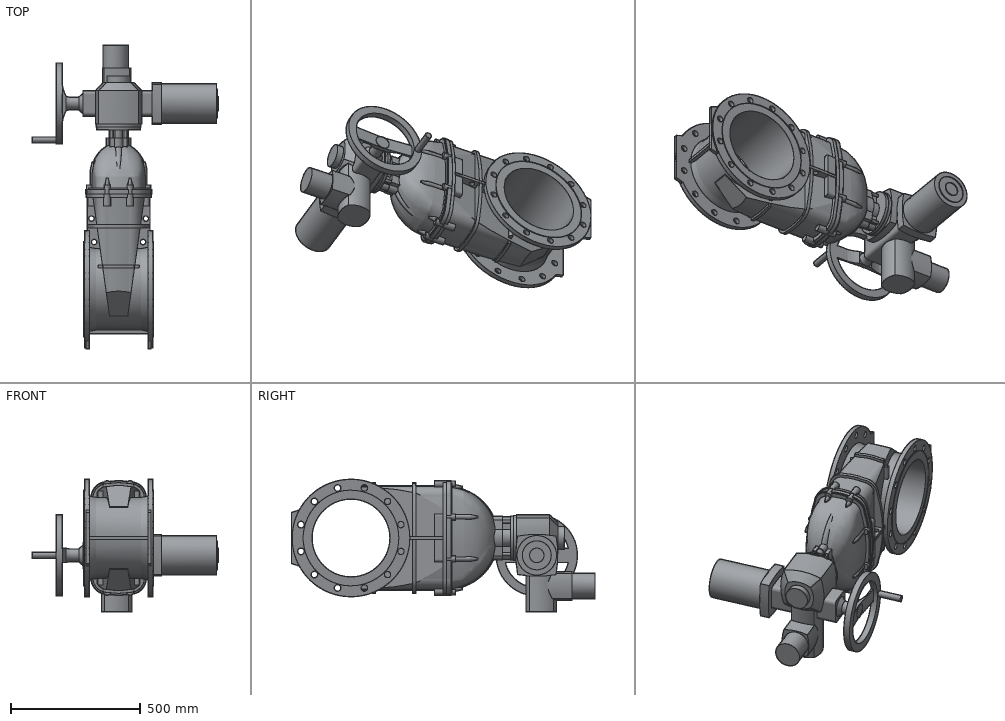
import cadquery as cq
import math


FACE_TO_FACE = 270.0
BORE_DIA = 300.0
BARREL_DIA = 315.0
BARREL_END_DIA = 326.0
BARREL_STRAIGHT_HALF = 87.0
FLANGE_DIA = 455.0
FLANGE_BACK_X = 113.5
RAISED_FACE_DIA = 370.0
RAISED_FACE_HEIGHT = 3.0
BOLT_CIRCLE_DIA = 400.0
FLANGE_HOLE_COUNT = 12
FLANGE_HOLE_DIA = 24.5
FOOT_THICKNESS = 12.0
FOOT_BOTTOM_Y = -230.5
FOOT_TOP_Y = -200.0
FOOT_HALF_Z_TOP = 109.0
FOOT_HALF_Z_BOTTOM = 99.0

OVAL_HALF_X = 110.0
OVAL_HALF_Z = 203.0
OVAL_FLAT_HALF_X = 41.0
OVAL_CORNER_Z = 160.0
OVAL_SIDE_BULGE = 22.0
OVAL_END_BULGE = 4.0

HOUSING_TOP_Y = 356.0
HOUSING_TOP_HALF_X = 99.5
HOUSING_BOTTOM_Y = -104.0
HOUSING_BOTTOM_HALF_X = 35.0
HOUSING_CHAMFER_Y = -7.0
HOUSING_BOTTOM_HALF_Z = 121.0

RIB_THICKNESS = 12.0
SIDE_PLATE_HALF_X = 122.0
FOOT_RIB_Y = -172.0
LIFTING_HOLE_DIA = 20.0
LIFTING_HOLES = ((105.0, 273.5), (94.5, 183.0))
COLLAR_OFFSET = 11.0
UPPER_COLLAR_Y = 244.0
UPPER_COLLAR_WIDTH = 13.0
LOWER_COLLAR_Y = 89.0
LOWER_COLLAR_WIDTH = 12.0
LOWER_COLLAR_HALF_X = 60.0
LOWER_COLLAR_BAR_HALF_X = 80.0
LOWER_COLLAR_BAR_HALF_Z = 182.0
LOWER_COLLAR_BAR_RADIUS = 5.5

BODY_FLANGE_OFFSET = 17.0
BONNET_FLANGE_OFFSET = 19.0
JOINT_Y = 369.5
BONNET_FLANGE_TOP_Y = 387.0
BONNET_BASE_TOP_Y = 391.0
BONNET_BASE_OFFSET = 14.0
BOLT_HEAD_DIA = 25.0
BOLT_HEAD_TOP_Y = 404.0
BOLT_COLUMN_DIA = 20.0
BOLT_COLUMN_TIP_DIA = 7.0
NUT_BOSS_DIA = 28.0
NUT_BOSS_BOTTOM_Y = 322.0
END_BOLT_X = 44.0
END_BOLT_Z = 208.0
END_COLUMN_Z = 197.0
END_COLUMN_TIP_Y = 431.0
SIDE_BOLT_X = 112.0
SIDE_BOLT_Z = 81.0
NUT_PAD_HALF_X = 119.0
NUT_PAD_CORNER_RADIUS = 10.0
SIDE_COLUMN_X = 100.0
SIDE_COLUMN_SHOULDER_Y = 462.0
SIDE_COLUMN_TIP_Y = 492.0

DOME_CENTRE_Y = 361.5
DOME_SHOULDER_Y = 436.0
DOME_TOP_Y = 556.0
DOME_SIDE_RISE = 130.0
DOME_CORNER_FADE = 190.0
DOME_SECTION_COUNT = 6
DOME_RIB_CENTRE_Y = 371.5
DOME_RIB_OUTER_RADIUS = 198.5

YOKE_BOTTOM_Y = 540.0
YOKE_STEP_Y = 586.0
YOKE_NECK_DIA = 76.0
YOKE_COLUMN_DIA = 30.0
YOKE_COLUMN_Z = 68.0
YOKE_BASE_COLUMN_DIA = 34.0
YOKE_WEB_HALF_X = 20.0
YOKE_HALF_X = 48.0
YOKE_SHOULDER_X = 38.0
YOKE_SHOULDER_Z = 33.0
YOKE_END_X = 33.0
YOKE_END_Z = 69.0
STUD_DIA = 12.0
STUD_X = 27.0
STUD_Z = 63.0
ACTUATOR_FLANGE_BOTTOM_Y = 617.0
ACTUATOR_FLANGE_STEP_Y = 628.0
ACTUATOR_FLANGE_DIA = 175.0
ACTUATOR_FLANGE_STEP_DIA = 171.0

GEARBOX_BOTTOM_Y = 640.0
GEARBOX_TOP_Y = 800.0
GEARBOX_SIZE = 181.0
GEARBOX_CHAMFER_Y = 768.0
GEARBOX_CORNER_INSET = 13.0
GEARBOX_TOP_SIZE = 120.0
COVER_DIA = 90.0
COVER_TOP_Y = 825.0
DRIVE_Y = 718.5
DRIVE_Z = -67.0
COUPLING_SIZE = 100.0
COUPLING_CORNER_RADIUS = 15.0

MOTOR_FLANGE_X = 129.0
MOTOR_X = 165.5
MOTOR_END_X = 379.0
MOTOR_CAP_THICKNESS = 3.5
MOTOR_FLANGE_SIZE = 163.0
MOTOR_FLANGE_CORNER_INSET = 7.0
MOTOR_DIA = 153.0
MOTOR_CAP_DIAS = (112.0, 56.0)

HANDWHEEL_BOSS_X = -138.0
SHAFT_CONE_END_X = -154.0
SHAFT_CONE_DIA = 80.0
SHAFT_DIA = 50.0
HUB_DIA = 56.0
HUB_CONE_X = -190.0
HUB_FACE_X = -203.0
HUB_FRONT_X = -220.0
RIM_BACK_X = -217.5
RIM_WIDTH = 24.5
RIM_OUTER_DIA = 315.0
RIM_INNER_DIA = 249.0
SPOKE_WIDTH = 56.0
SPOKE_ROOT_HALF_Y = 73.0
SPOKE_THICKNESS = 10.0
SPOKE_ARC_DEPTH = 5.0
HANDLE_DIA = 25.0
HANDLE_END_X = -335.0

CONTROL_X = -7.5
CONTROL_Y = 736.0
CONTROL_SIZE = 119.0
CONTROL_CORNER_INSET = 13.0
CONTROL_BOTTOM_Z = -286.0
TERMINAL_X = -11.0
TERMINAL_Z = -185.5
TERMINAL_DIA = 100.0
TERMINAL_END_Y = 944.0
TERMINAL_BOX_END_Y = 855.0
TERMINAL_BOX_SIZE = 112.0
TERMINAL_BOX_CORNER_INSET = 7.0


def along_y(start_y, x=0.0, z=0.0):
    """Workplane facing +Y with its local axes along -X and Z."""
    return cq.Workplane(cq.Plane((x, start_y, z), (-1, 0, 0), (0, 1, 0)))


def along_x(start_x, y=0.0, z=0.0):
    """Workplane facing +X with its local axes along Y and Z."""
    return cq.Workplane(cq.Plane((start_x, y, z), (0, 1, 0), (1, 0, 0)))


def rod_y(diameter, start_y, end_y, x=0.0, z=0.0):
    return along_y(start_y, x, z).circle(diameter / 2).extrude(end_y - start_y)


def rod_x(diameter, start_x, end_x, y=0.0, z=0.0):
    return along_x(start_x, y, z).circle(diameter / 2).extrude(end_x - start_x)


def cone_x(start_dia, start_x, end_dia, end_x, y=0.0, z=0.0):
    start = along_x(start_x, y, z).circle(start_dia / 2)
    return start.workplane(offset=end_x - start_x).circle(end_dia / 2).loft(ruled=True)


def block(x_range, y_range, z_range):
    (x0, x1), (y0, y1), (z0, z1) = x_range, y_range, z_range
    return cq.Workplane("XY").box(x1 - x0, y1 - y0, z1 - z0, centered=False).translate((x0, y0, z0))


def oval(plane, half_x=OVAL_HALF_X, half_z=OVAL_HALF_Z, corner_z=OVAL_CORNER_Z, flat_x=OVAL_FLAT_HALF_X):
    """Oval with nearly flat ends, rounded corners and long bulged sides that begin at height corner_z."""
    corner_x = half_x - OVAL_SIDE_BULGE * (corner_z / OVAL_CORNER_Z) ** 2
    diagonal = math.sqrt(0.5)
    mid_x = flat_x + (corner_x - flat_x) * diagonal
    end_z = half_z - OVAL_END_BULGE * flat_x / OVAL_FLAT_HALF_X
    mid_z = corner_z + (end_z - corner_z) * diagonal
    return (
        plane.moveTo(-flat_x, end_z)
        .threePointArc((0, half_z), (flat_x, end_z))
        .threePointArc((mid_x, mid_z), (corner_x, corner_z))
        .threePointArc((half_x, 0), (corner_x, -corner_z))
        .threePointArc((mid_x, -mid_z), (flat_x, -end_z))
        .threePointArc((0, -half_z), (-flat_x, -end_z))
        .threePointArc((-mid_x, -mid_z), (-corner_x, -corner_z))
        .threePointArc((-half_x, 0), (-corner_x, corner_z))
        .threePointArc((-mid_x, mid_z), (-flat_x, end_z))
        .close()
    )


def oval_plate(start_y, end_y, offset=0.0):
    plane = along_y(start_y)
    return oval(plane, OVAL_HALF_X + offset, OVAL_HALF_Z + offset).extrude(end_y - start_y)


def bulged_square(plane, size, corner_inset):
    """Four arcs spanning the given size, meeting at corners set in from the bounding square."""
    half = size / 2
    corner = half - corner_inset
    return (
        plane.moveTo(-corner, corner)
        .threePointArc((0, half), (corner, corner))
        .threePointArc((half, 0), (corner, -corner))
        .threePointArc((0, -half), (-corner, -corner))
        .threePointArc((-half, 0), (-corner, corner))
        .close()
    )


def mirrored_x(shape):
    return shape.union(shape.mirror("YZ"))


def four_corners(x, z):
    return [(sx * x, sz * z) for sx in (-1, 1) for sz in (-1, 1)]


def barrel():
    straight = rod_x(BARREL_DIA, -FLANGE_BACK_X, FLANGE_BACK_X)
    flare = cone_x(BARREL_DIA, BARREL_STRAIGHT_HALF, BARREL_END_DIA, FLANGE_BACK_X)
    return straight.union(mirrored_x(flare))


def end_flange():
    face_x = FACE_TO_FACE / 2
    front_x = face_x - RAISED_FACE_HEIGHT
    flange = rod_x(FLANGE_DIA, FLANGE_BACK_X, front_x)
    foot = (
        along_x(FLANGE_BACK_X)
        .moveTo(FOOT_TOP_Y, FOOT_HALF_Z_TOP)
        .lineTo(FOOT_BOTTOM_Y, FOOT_HALF_Z_BOTTOM)
        .lineTo(FOOT_BOTTOM_Y, -FOOT_HALF_Z_BOTTOM)
        .lineTo(FOOT_TOP_Y, -FOOT_HALF_Z_TOP)
        .close()
        .extrude(FOOT_THICKNESS)
    )
    holes = (
        along_x(FLANGE_BACK_X)
        .polarArray(BOLT_CIRCLE_DIA / 2, 180 / FLANGE_HOLE_COUNT, 360, FLANGE_HOLE_COUNT)
        .circle(FLANGE_HOLE_DIA / 2)
        .extrude(front_x - FLANGE_BACK_X)
    )
    raised_face = rod_x(RAISED_FACE_DIA, front_x, face_x)
    return flange.union(foot).cut(holes).union(raised_face)


def wedge_housing():
    """Oval prism narrowed by a taper in X and bevelled towards the barrel at its lower ends."""
    prism = oval_plate(HOUSING_BOTTOM_Y, HOUSING_TOP_Y)
    taper = (
        cq.Workplane("XY")
        .moveTo(-HOUSING_TOP_HALF_X, HOUSING_TOP_Y)
        .lineTo(HOUSING_TOP_HALF_X, HOUSING_TOP_Y)
        .lineTo(HOUSING_BOTTOM_HALF_X, HOUSING_BOTTOM_Y)
        .lineTo(-HOUSING_BOTTOM_HALF_X, HOUSING_BOTTOM_Y)
        .close()
        .extrude(OVAL_HALF_Z, both=True)
    )
    side = (
        cq.Workplane("YZ")
        .moveTo(HOUSING_TOP_Y, OVAL_HALF_Z)
        .lineTo(HOUSING_CHAMFER_Y, OVAL_HALF_Z)
        .lineTo(HOUSING_BOTTOM_Y, HOUSING_BOTTOM_HALF_Z)
        .lineTo(HOUSING_BOTTOM_Y, -HOUSING_BOTTOM_HALF_Z)
        .lineTo(HOUSING_CHAMFER_Y, -OVAL_HALF_Z)
        .lineTo(HOUSING_TOP_Y, -OVAL_HALF_Z)
        .close()
        .extrude(OVAL_HALF_X, both=True)
    )
    return prism.intersect(taper).intersect(side)


def housing_collars():
    upper_start = UPPER_COLLAR_Y - UPPER_COLLAR_WIDTH / 2
    upper = oval_plate(upper_start, upper_start + UPPER_COLLAR_WIDTH, COLLAR_OFFSET)
    lower_start = LOWER_COLLAR_Y - LOWER_COLLAR_WIDTH / 2
    lower_end = lower_start + LOWER_COLLAR_WIDTH
    lower = oval_plate(lower_start, lower_end, COLLAR_OFFSET)
    reach_z = OVAL_HALF_Z + COLLAR_OFFSET
    window = block(
        (-LOWER_COLLAR_HALF_X, LOWER_COLLAR_HALF_X), (lower_start, lower_end), (-reach_z, reach_z)
    )
    bar = block(
        (-LOWER_COLLAR_BAR_HALF_X, LOWER_COLLAR_BAR_HALF_X),
        (lower_start, lower_end),
        (-LOWER_COLLAR_BAR_HALF_Z, LOWER_COLLAR_BAR_HALF_Z),
    )
    bar = bar.edges("|Z").fillet(LOWER_COLLAR_BAR_RADIUS)
    return upper.union(lower.intersect(window)).union(bar)


def middle_ribs():
    """Plate in the Z = 0 plane: lifting ears beside the housing and a rib under the barrel."""
    rib_z = (-RIB_THICKNESS / 2, RIB_THICKNESS / 2)
    plate = block((-SIDE_PLATE_HALF_X, SIDE_PLATE_HALF_X), (0, HOUSING_TOP_Y), rib_z)
    ears = [(side * x, y) for x, y in LIFTING_HOLES for side in (-1, 1)]
    holes = cq.Workplane("XY").pushPoints(ears).circle(LIFTING_HOLE_DIA / 2)
    plate = plate.cut(holes.extrude(RIB_THICKNESS, both=True))
    return plate.union(block((-FLANGE_BACK_X, FLANGE_BACK_X), (FOOT_RIB_Y, 0), rib_z))


def bolt_column(x, z, shoulder_y, tip_y):
    """Pointed half-buried column above a bonnet bolt."""
    shaft = rod_y(BOLT_COLUMN_DIA, JOINT_Y, shoulder_y, x, z)
    base = along_y(shoulder_y, x, z).circle(BOLT_COLUMN_DIA / 2)
    point = base.workplane(offset=tip_y - shoulder_y).circle(BOLT_COLUMN_TIP_DIA / 2).loft(ruled=True)
    return shaft.union(point)


def bonnet_joint():
    joint = oval_plate(HOUSING_TOP_Y, JOINT_Y, BODY_FLANGE_OFFSET)
    joint = joint.union(oval_plate(JOINT_Y, BONNET_FLANGE_TOP_Y, BONNET_FLANGE_OFFSET))
    joint = joint.union(oval_plate(BONNET_FLANGE_TOP_Y, BONNET_BASE_TOP_Y, BONNET_BASE_OFFSET))
    for x, z in four_corners(END_BOLT_X, END_BOLT_Z):
        joint = joint.union(rod_y(NUT_BOSS_DIA, NUT_BOSS_BOTTOM_Y, JOINT_Y, x, z))
        joint = joint.union(rod_y(BOLT_HEAD_DIA, JOINT_Y, BOLT_HEAD_TOP_Y, x, z))
    for x, z in four_corners(END_BOLT_X, END_COLUMN_Z):
        joint = joint.union(bolt_column(x, z, BOLT_HEAD_TOP_Y, END_COLUMN_TIP_Y))
    for x, z in four_corners(SIDE_BOLT_X, SIDE_BOLT_Z):
        joint = joint.union(rod_y(BOLT_HEAD_DIA, JOINT_Y, BOLT_HEAD_TOP_Y, x, z))
    for x, z in four_corners(SIDE_COLUMN_X, SIDE_BOLT_Z):
        joint = joint.union(bolt_column(x, z, SIDE_COLUMN_SHOULDER_Y, SIDE_COLUMN_TIP_Y))
    return joint.union(side_nut_pads())


def side_nut_pads():
    pad_z = SIDE_BOLT_Z + BOLT_HEAD_DIA / 2
    pads = block(
        (-NUT_PAD_HALF_X, NUT_PAD_HALF_X), (NUT_BOSS_BOTTOM_Y, HOUSING_TOP_Y), (-pad_z, pad_z)
    )
    return pads.edges("|Y").fillet(NUT_PAD_CORNER_RADIUS)


def dome_section(y):
    """Oval of the dome at height y: circular profile in YZ, straight then elliptical profile in XY."""
    half_z = math.sqrt(OVAL_HALF_Z**2 - (y - DOME_CENTRE_Y) ** 2)
    rise = max(0.0, y - DOME_SHOULDER_Y) / DOME_SIDE_RISE
    half_x = OVAL_HALF_X * math.sqrt(1 - rise**2)
    fade = 1 - ((y - BONNET_BASE_TOP_Y) / DOME_CORNER_FADE) ** 2
    corner_z = half_z * fade * OVAL_CORNER_Z / OVAL_HALF_Z
    flat_x = OVAL_FLAT_HALF_X * math.sqrt(half_x / OVAL_HALF_X)
    return oval(along_y(y), half_x, half_z, corner_z, flat_x).val()


def dome():
    base = dome_section(BONNET_BASE_TOP_Y)
    shoulder = dome_section(DOME_SHOULDER_Y)
    skirt = cq.Workplane(cq.Solid.makeLoft([base, shoulder], True))
    sections = [shoulder]
    for step in range(1, DOME_SECTION_COUNT):
        share = math.sin(math.pi / 2 * step / (DOME_SECTION_COUNT - 1))
        sections.append(dome_section(DOME_SHOULDER_Y + share * (DOME_TOP_Y - DOME_SHOULDER_Y)))
    return skirt.union(cq.Workplane(cq.Solid.makeLoft(sections))).union(dome_rib())


def dome_rib():
    """Half-round rib over the crown of the dome, sinking into it towards both ends."""
    tube_radius = YOKE_BASE_COLUMN_DIA / 2
    rib = (
        cq.Workplane("XY", origin=(0, DOME_RIB_CENTRE_Y, 0))
        .moveTo(0, DOME_RIB_OUTER_RADIUS - tube_radius)
        .circle(tube_radius)
        .revolve(360, (0, 0, 0), (1, 0, 0))
    )
    reach = 2 * OVAL_HALF_Z
    upper_half = block((-reach, reach), (BONNET_BASE_TOP_Y, BONNET_BASE_TOP_Y + reach), (-reach, reach))
    crown = block((-reach, reach), (DOME_TOP_Y, DOME_TOP_Y + reach), (-reach, reach))
    return rib.intersect(upper_half).cut(crown)


def yoke():
    collar = (
        along_y(YOKE_BOTTOM_Y)
        .moveTo(-YOKE_END_X, YOKE_END_Z)
        .lineTo(YOKE_END_X, YOKE_END_Z)
        .lineTo(YOKE_SHOULDER_X, YOKE_SHOULDER_Z)
        .threePointArc((YOKE_HALF_X, 0), (YOKE_SHOULDER_X, -YOKE_SHOULDER_Z))
        .lineTo(YOKE_END_X, -YOKE_END_Z)
        .lineTo(-YOKE_END_X, -YOKE_END_Z)
        .lineTo(-YOKE_SHOULDER_X, -YOKE_SHOULDER_Z)
        .threePointArc((-YOKE_HALF_X, 0), (-YOKE_SHOULDER_X, YOKE_SHOULDER_Z))
        .close()
        .extrude(YOKE_STEP_Y - YOKE_BOTTOM_Y)
    )
    neck = collar.union(rod_y(YOKE_NECK_DIA, YOKE_BOTTOM_Y, GEARBOX_BOTTOM_Y))
    web = block(
        (-YOKE_WEB_HALF_X, YOKE_WEB_HALF_X),
        (YOKE_STEP_Y, GEARBOX_BOTTOM_Y),
        (-YOKE_END_Z, YOKE_END_Z),
    )
    neck = neck.union(web)
    for z in (-YOKE_COLUMN_Z, YOKE_COLUMN_Z):
        neck = neck.union(rod_y(YOKE_COLUMN_DIA, YOKE_STEP_Y, GEARBOX_BOTTOM_Y, 0, z))
        neck = neck.union(rod_y(YOKE_BASE_COLUMN_DIA, YOKE_BOTTOM_Y, YOKE_STEP_Y, 0, z))
    for x, z in four_corners(STUD_X, STUD_Z):
        neck = neck.union(rod_y(STUD_DIA, YOKE_BOTTOM_Y, GEARBOX_BOTTOM_Y, x, z))
    lower_disc = rod_y(ACTUATOR_FLANGE_STEP_DIA, ACTUATOR_FLANGE_BOTTOM_Y, ACTUATOR_FLANGE_STEP_Y)
    upper_disc = rod_y(ACTUATOR_FLANGE_DIA, ACTUATOR_FLANGE_STEP_Y, GEARBOX_BOTTOM_Y)
    return neck.union(lower_disc).union(upper_disc)


def gearbox():
    outline = bulged_square(along_y(GEARBOX_BOTTOM_Y), GEARBOX_SIZE, GEARBOX_CORNER_INSET)
    body = outline.extrude(GEARBOX_CHAMFER_Y - GEARBOX_BOTTOM_Y)
    base = bulged_square(along_y(GEARBOX_CHAMFER_Y), GEARBOX_SIZE, GEARBOX_CORNER_INSET).val()
    top = bulged_square(along_y(GEARBOX_TOP_Y), GEARBOX_TOP_SIZE, GEARBOX_CORNER_INSET).val()
    cap = cq.Workplane(cq.Solid.makeLoft([base, top], True))
    cover = rod_y(COVER_DIA, GEARBOX_TOP_Y, COVER_TOP_Y)
    coupling_plane = along_x(HANDWHEEL_BOSS_X, DRIVE_Y, DRIVE_Z)
    coupling = coupling_plane.rect(COUPLING_SIZE, COUPLING_SIZE).extrude(MOTOR_FLANGE_X - HANDWHEEL_BOSS_X)
    coupling = coupling.edges("|X").fillet(COUPLING_CORNER_RADIUS)
    return body.union(cap).union(cover).union(coupling)


def motor():
    plane = along_x(MOTOR_FLANGE_X, DRIVE_Y, DRIVE_Z)
    outline = bulged_square(plane, MOTOR_FLANGE_SIZE, MOTOR_FLANGE_CORNER_INSET)
    unit = outline.extrude(MOTOR_X - MOTOR_FLANGE_X)
    unit = unit.union(rod_x(MOTOR_DIA, MOTOR_X, MOTOR_END_X, DRIVE_Y, DRIVE_Z))
    end_x = MOTOR_END_X
    for diameter in MOTOR_CAP_DIAS:
        unit = unit.union(rod_x(diameter, end_x, end_x + MOTOR_CAP_THICKNESS, DRIVE_Y, DRIVE_Z))
        end_x += MOTOR_CAP_THICKNESS
    return unit


def handwheel():
    axis = (DRIVE_Y, DRIVE_Z)
    rim_front_x = RIM_BACK_X - RIM_WIDTH
    wheel = rod_x(SHAFT_DIA, HUB_FACE_X, HANDWHEEL_BOSS_X, *axis)
    wheel = wheel.union(cone_x(SHAFT_DIA, SHAFT_CONE_END_X, SHAFT_CONE_DIA, HANDWHEEL_BOSS_X, *axis))
    wheel = wheel.union(cone_x(HUB_DIA, HUB_FACE_X, SHAFT_DIA, HUB_CONE_X, *axis))
    wheel = wheel.union(rod_x(HUB_DIA, HUB_FRONT_X, HUB_FACE_X, *axis))
    rim = rod_x(RIM_OUTER_DIA, rim_front_x, RIM_BACK_X, *axis)
    rim = rim.cut(rod_x(RIM_INNER_DIA, rim_front_x, RIM_BACK_X, *axis))
    handle_y = DRIVE_Y - (RIM_OUTER_DIA + RIM_INNER_DIA) / 4
    handle = rod_x(HANDLE_DIA, HANDLE_END_X, RIM_BACK_X, handle_y, DRIVE_Z)
    return wheel.union(rim).union(spoke()).union(handle)


def spoke():
    """Dished cross bar: straight front flanks, and a back that curves in to meet the hub."""
    rim_half_y = (RIM_OUTER_DIA + RIM_INNER_DIA) / 4
    hub_half_y = HUB_DIA / 2
    rim_front_x = RIM_BACK_X - SPOKE_THICKNESS
    arc_x = RIM_BACK_X + SPOKE_ARC_DEPTH
    arc_y = (SPOKE_ROOT_HALF_Y + hub_half_y) / 2
    return (
        cq.Workplane("XY", origin=(0, DRIVE_Y, DRIVE_Z))
        .moveTo(rim_front_x, rim_half_y)
        .lineTo(RIM_BACK_X, rim_half_y)
        .lineTo(RIM_BACK_X, SPOKE_ROOT_HALF_Y)
        .threePointArc((arc_x, arc_y), (HUB_FACE_X, hub_half_y))
        .lineTo(HUB_FACE_X, -hub_half_y)
        .threePointArc((arc_x, -arc_y), (RIM_BACK_X, -SPOKE_ROOT_HALF_Y))
        .lineTo(RIM_BACK_X, -rim_half_y)
        .lineTo(rim_front_x, -rim_half_y)
        .lineTo(RIM_BACK_X, 0)
        .close()
        .extrude(SPOKE_WIDTH / 2, both=True)
    )


def control_box():
    plane = cq.Workplane("XY", origin=(CONTROL_X, CONTROL_Y, CONTROL_BOTTOM_Z))
    body = bulged_square(plane, CONTROL_SIZE, CONTROL_CORNER_INSET).extrude(DRIVE_Z - CONTROL_BOTTOM_Z)
    box_plane = along_y(CONTROL_Y, CONTROL_X, TERMINAL_Z)
    box_outline = bulged_square(box_plane, TERMINAL_BOX_SIZE, TERMINAL_BOX_CORNER_INSET)
    terminal_box = box_outline.extrude(TERMINAL_BOX_END_Y - CONTROL_Y)
    terminal = rod_y(TERMINAL_DIA, TERMINAL_BOX_END_Y, TERMINAL_END_Y, TERMINAL_X, TERMINAL_Z)
    return body.union(terminal_box).union(terminal)


def valve_body():
    body = barrel().union(wedge_housing()).union(housing_collars()).union(middle_ribs())
    body = body.union(mirrored_x(end_flange()))
    return body.cut(rod_x(BORE_DIA, -FACE_TO_FACE / 2, FACE_TO_FACE / 2))


result = valve_body()
for assembly in (bonnet_joint(), dome(), yoke(), gearbox(), motor(), control_box(), handwheel()):
    result = result.union(assembly)